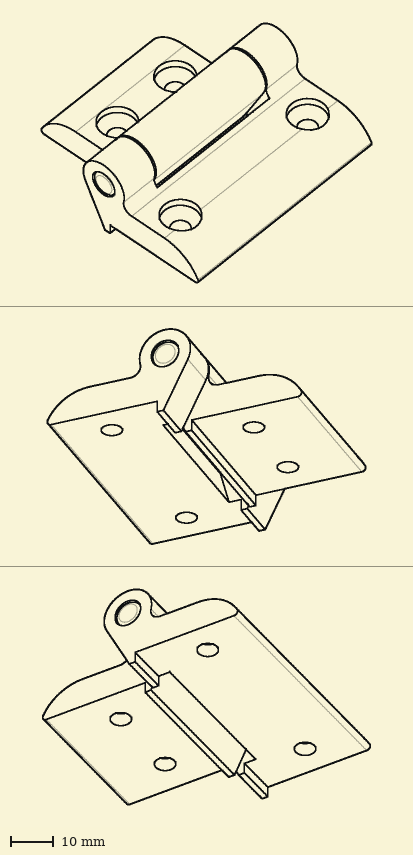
import cadquery as cq
import math


half_span = 30.0
hinge_length = 60.0
plate_thickness = 8.0

axis_height = 12.5
barrel_radius = 6.5
bore_diameter = 7.0
pin_diameter = 6.8
pin_face_diameter = 5.0

neck_fillet = 2.5
edge_arc_radius = 12.0
edge_tip_radius = 1.0
rib_depth = 2.8
rib_outer_x = 2.0
rib_tip_x = 0.4

inner_barrel_length = 37.8
recess_length = 38.8

recess_foot_x = 5.05
recess_wall_angle = 15.0

screw_diameter = 5.0
head_diameter = 10.0
head_depth = 2.0
countersink_depth = (head_diameter - screw_diameter) / 2
left_screw_x = -14.0
left_screw_spacing = 20.0
right_screw_x = 17.0
right_screw_spacing = 44.0

leaf_top_z = axis_height + barrel_radius


def circle_point(center, radius, angle):
    """Point on a circle in the XZ plane, at an angle measured from +X."""
    return (center[0] + radius * math.cos(angle), center[1] + radius * math.sin(angle))


def leaf_profile(length):
    """Leaf on the +X side, including its barrel, extruded symmetrically about Y = 0."""
    axis = (0, axis_height)

    neck_z = plate_thickness + neck_fillet
    neck_reach = barrel_radius + neck_fillet
    neck_x = math.sqrt(neck_reach**2 - (axis_height - neck_z) ** 2)
    neck_center = (neck_x, neck_z)
    neck_angle = math.atan2(neck_z - axis_height, neck_x)
    neck_start = circle_point(axis, barrel_radius, neck_angle)
    neck_middle_angle = (neck_angle + math.pi + 3 * math.pi / 2) / 2
    neck_middle = circle_point(neck_center, neck_fillet, neck_middle_angle)

    tip_center = (half_span - edge_tip_radius, edge_tip_radius)
    edge_center_z = plate_thickness - edge_arc_radius
    edge_rise = edge_tip_radius - edge_center_z
    edge_run = math.sqrt((edge_arc_radius - edge_tip_radius) ** 2 - edge_rise**2)
    edge_center = (tip_center[0] - edge_run, edge_center_z)
    edge_angle = math.atan2(edge_rise, edge_run)
    edge_middle = circle_point(edge_center, edge_arc_radius, (math.pi / 2 + edge_angle) / 2)
    edge_end = circle_point(edge_center, edge_arc_radius, edge_angle)
    tip_middle = circle_point(tip_center, edge_tip_radius, (edge_angle - math.pi / 2) / 2)

    rib_tip = (rib_tip_x, -rib_depth)
    tip_distance = math.hypot(rib_tip_x, axis_height + rib_depth)
    tip_direction = math.atan2(-rib_depth - axis_height, rib_tip_x)
    slant_angle = tip_direction - math.acos(barrel_radius / tip_distance)
    slant_end = circle_point(axis, barrel_radius, slant_angle)

    return (
        cq.Workplane("XZ")
        .moveTo(*neck_start)
        .threePointArc(neck_middle, (neck_x, plate_thickness))
        .lineTo(edge_center[0], plate_thickness)
        .threePointArc(edge_middle, edge_end)
        .threePointArc(tip_middle, (tip_center[0], 0))
        .lineTo(rib_outer_x, 0)
        .lineTo(rib_outer_x, -rib_depth)
        .lineTo(*rib_tip)
        .lineTo(*slant_end)
        .threePointArc((0, leaf_top_z), neck_start)
        .close()
        .extrude(length / 2, both=True)
    )


def cut_bore(leaf):
    """Cut the pin bore along the hinge axis."""
    bore = (
        cq.Workplane("XZ")
        .center(0, axis_height)
        .circle(bore_diameter / 2)
        .extrude(hinge_length / 2, both=True)
    )
    return leaf.cut(bore)


def cut_screw_holes(leaf, screw_x, spacing):
    """Cut two countersunk holes, each with a straight recess above its cone."""
    cone_top_z = plate_thickness - head_depth
    cone_bottom_z = cone_top_z - countersink_depth
    cutter = (
        cq.Workplane("XZ")
        .lineTo(screw_diameter / 2, 0)
        .lineTo(screw_diameter / 2, cone_bottom_z)
        .lineTo(head_diameter / 2, cone_top_z)
        .lineTo(head_diameter / 2, plate_thickness)
        .lineTo(0, plate_thickness)
        .close()
        .revolve(360, (0, 0, 0), (0, 1, 0))
    )
    for side in (-1, 1):
        leaf = leaf.cut(cutter.translate((screw_x, side * spacing / 2, 0)))
    return leaf


def make_left_leaf():
    """Short leaf on the -X side, carrying the inner barrel."""
    leaf = leaf_profile(inner_barrel_length).mirror("YZ")
    leaf = cut_bore(leaf)
    return cut_screw_holes(leaf, left_screw_x, left_screw_spacing)


def make_right_leaf():
    """Long leaf on the +X side, with a barrel at each end and a recess between them."""
    wall_slope = math.tan(math.radians(recess_wall_angle))
    recess = (
        cq.Workplane("XZ")
        .moveTo(-barrel_radius, -rib_depth)
        .lineTo(recess_foot_x - rib_depth * wall_slope, -rib_depth)
        .lineTo(recess_foot_x + leaf_top_z * wall_slope, leaf_top_z)
        .lineTo(-barrel_radius, leaf_top_z)
        .close()
        .extrude(recess_length / 2, both=True)
    )
    leaf = cut_bore(leaf_profile(hinge_length).cut(recess))
    return cut_screw_holes(leaf, right_screw_x, right_screw_spacing)


def make_pin():
    """Pin with rounded ends, flush with the outer barrel faces."""
    end_round = (pin_diameter - pin_face_diameter) / 2
    return (
        cq.Workplane("XZ")
        .center(0, axis_height)
        .circle(pin_diameter / 2)
        .extrude(hinge_length / 2, both=True)
        .edges("%CIRCLE")
        .fillet(end_round)
    )


left_leaf = make_left_leaf()
right_leaf = make_right_leaf()
pin = make_pin()

result = cq.Compound.makeCompound([left_leaf.val(), right_leaf.val(), pin.val()])